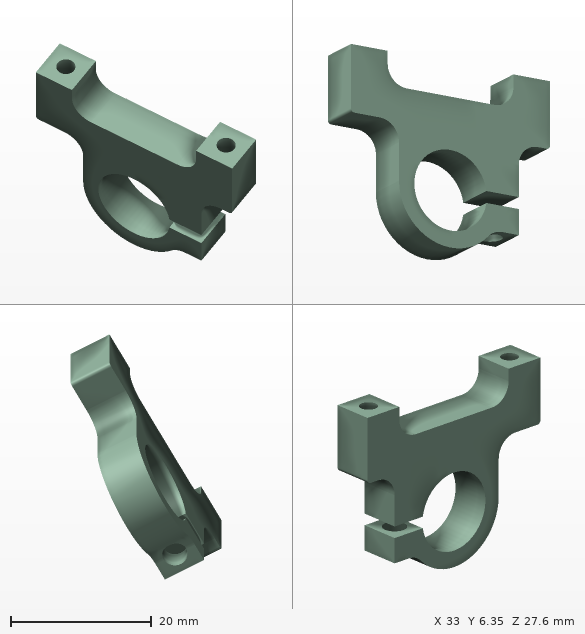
import cadquery as cq
import math

width = 33.02
thickness = 6.35
height = 27.6

ring_radius = 8.55
bore_radius = 6.0
slot_gap = 1.78
jaw_end_x = 11.33
jaw_bottom_z = -4.8

arm_width = 6.08
arm_height = 10.17
recess_depth = 5.1
fillet_radius = 3.17
corner_radius = 0.55

mount_hole_diameter = 2.7
mount_hole_depth = 6.6
drill_point_angle = 118.0
clamp_hole_diameter = 3.6
clamp_hole_x = 8.5

top_z = height - ring_radius
arm_bottom_z = top_z - arm_height
recess_z = top_z - recess_depth
half_width = width / 2
recess_half_width = half_width - arm_width

jaw_fillet_z = jaw_bottom_z - fillet_radius
jaw_fillet_x = math.sqrt((ring_radius + fillet_radius) ** 2 - jaw_fillet_z**2)
tangent_ratio = ring_radius / (ring_radius + fillet_radius)
tangent_point = (jaw_fillet_x * tangent_ratio, jaw_fillet_z * tangent_ratio)


def extrude_centred(sketch):
    """Extrude an XZ outline to the full thickness, centred on Y = 0."""
    return sketch.extrude(thickness / 2, both=True)


def make_body():
    outline = (
        cq.Workplane("XZ")
        .moveTo(-ring_radius, 0)
        .lineTo(-ring_radius, arm_bottom_z)
        .lineTo(-half_width, arm_bottom_z)
        .lineTo(-half_width, top_z)
        .lineTo(-recess_half_width, top_z)
        .lineTo(-recess_half_width, recess_z)
        .lineTo(recess_half_width, recess_z)
        .lineTo(recess_half_width, top_z)
        .lineTo(half_width, top_z)
        .lineTo(half_width, arm_bottom_z)
        .lineTo(jaw_end_x, arm_bottom_z)
        .lineTo(jaw_end_x, jaw_bottom_z)
        .lineTo(jaw_fillet_x, jaw_bottom_z)
        .radiusArc(tangent_point, -fillet_radius)
        .threePointArc(
            (-ring_radius * math.sin(math.pi / 4), -ring_radius * math.cos(math.pi / 4)),
            (-ring_radius, 0),
        )
        .close()
    )
    return extrude_centred(outline)


def round_edges(body, points, radius):
    """Round the Y-direction edges that pass through the given XZ points."""
    for x, z in points:
        body = body.edges(cq.NearestToPointSelector((x, 0, z))).fillet(radius)
    return body


def make_bore():
    return extrude_centred(cq.Workplane("XZ").circle(bore_radius))


def make_slot():
    return cq.Workplane("XY").box(jaw_end_x, thickness, slot_gap, centered=(False, True, True))


def make_mount_hole(x):
    """Blind hole from the top of an arm with a conical drill point."""
    radius = mount_hole_diameter / 2
    point_length = radius / math.tan(math.radians(drill_point_angle / 2))
    return (
        cq.Workplane("XZ", origin=(x, 0, top_z))
        .lineTo(radius, 0)
        .lineTo(radius, -mount_hole_depth)
        .lineTo(0, -mount_hole_depth - point_length)
        .close()
        .revolve(360, (0, 0), (0, 1))
    )


def make_clamp_hole():
    """Clearance hole through the lower jaw."""
    return (
        cq.Workplane("XY", origin=(clamp_hole_x, 0, 0))
        .circle(clamp_hole_diameter / 2)
        .extrude(-ring_radius)
    )


inner_corners = [
    (-recess_half_width, recess_z),
    (recess_half_width, recess_z),
    (-ring_radius, arm_bottom_z),
    (jaw_end_x, arm_bottom_z),
]
arm_corners = [(-half_width, arm_bottom_z), (half_width, arm_bottom_z)]

result = round_edges(make_body(), inner_corners, fillet_radius)
result = round_edges(result, arm_corners, corner_radius)
result = result.cut(make_bore()).cut(make_slot()).cut(make_clamp_hole())
for side in (-1, 1):
    result = result.cut(make_mount_hole(side * (half_width - arm_width / 2)))